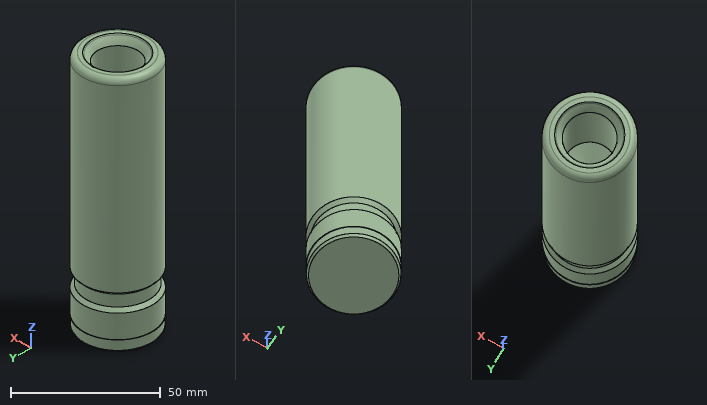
import cadquery as cq
import math

length = 110.0
body_radius = 16.0
top_fillet = 2.5

spigot_radius = 15.8
spigot_height = 5.3
base_chamfer_width = 0.8
base_chamfer_height = 1.0

groove_radius = 14.5
groove_bottom = 16.1
groove_top = 24.2
groove_depth = body_radius - groove_radius

bore_radius = 9.1
bore_depth = 33.0
drill_point_angle = 120.0
mouth_radius = 11.3
mouth_depth = 3.3
mouth_arc_radius = 11.0
rim_chamfer = 0.38


def make_body():
    """Revolve the stepped and grooved outer profile."""
    profile = (
        cq.Workplane("XZ")
        .lineTo(spigot_radius - base_chamfer_width, 0)
        .lineTo(spigot_radius, base_chamfer_height)
        .lineTo(spigot_radius, spigot_height)
        .lineTo(body_radius, spigot_height)
        .lineTo(body_radius, groove_bottom)
        .lineTo(groove_radius, groove_bottom + groove_depth)
        .lineTo(groove_radius, groove_top - groove_depth)
        .lineTo(body_radius, groove_top)
        .lineTo(body_radius, length)
        .lineTo(0, length)
        .close()
    )
    body = profile.revolve(360, (0, 0), (0, 1))
    return body.faces(">Z").edges().fillet(top_fillet)


def make_bore():
    """Revolve the bore, its conical floor and its convex mouth."""
    floor = length - bore_depth
    point_depth = bore_radius / math.tan(math.radians(drill_point_angle / 2))
    profile = (
        cq.Workplane("XZ")
        .moveTo(0, floor - point_depth)
        .lineTo(bore_radius, floor)
        .lineTo(bore_radius, length - mouth_depth)
        .radiusArc((mouth_radius, length - rim_chamfer), mouth_arc_radius)
        .lineTo(mouth_radius + rim_chamfer, length)
        .lineTo(0, length)
        .close()
    )
    return profile.revolve(360, (0, 0), (0, 1))


result = make_body().cut(make_bore())